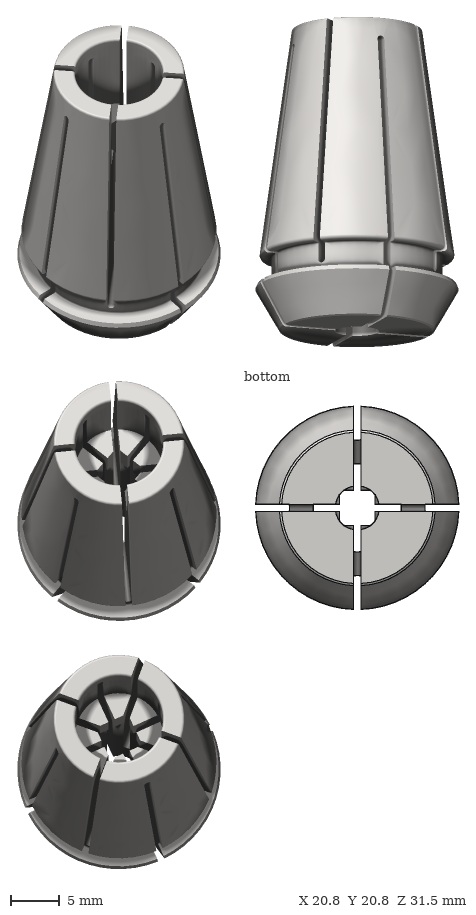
import math

import cadquery as cq

length = 31.5
taper_angle = 8.0
top_radius = 6.66
top_edge_round = 0.25

flange_radius = 10.4
flange_rim_height = 4.35
flange_top = 4.8
flange_chamfer_width = 0.2
nose_angle = 30.0
nose_edge_chamfer = 0.15

groove_radius = 8.75
groove_top = 7.6
groove_corner_round = 0.15
taper_edge_round = 0.35

shank_diameter = 4.5
shank_depth = 18.0
square_size = 3.6
square_length = 4.0
relief_diameter = 9.0
relief_edge_round = 0.25

slot_width = 0.72
slot_disc_radius = 65.0
slot_end_crown = 0.3
lower_slot_end = 29.9
upper_slot_end = 4.9
lower_slot_angles = (0, 90)
upper_slot_angles = (45, 135)

edge_tolerance = 0.01

taper_bottom_radius = top_radius + (length - groove_top) * math.tan(math.radians(taper_angle))
nose_radius = flange_radius - flange_rim_height * math.tan(math.radians(nose_angle))
square_top = shank_depth + square_length


def round_edge(body, radius, height, size):
    """Fillet the widest circular edge at this height that lies within the given radius."""
    reach = radius + edge_tolerance
    box = cq.selectors.BoxSelector(
        (-reach, -reach, height - edge_tolerance),
        (reach, reach, height + edge_tolerance),
        boundingbox=True,
    )
    return body.edges(box).edges(cq.selectors.RadiusNthSelector(-1)).fillet(size)


def make_body():
    """Revolve the nose, flange, groove and taper, then soften their edges."""
    body = (
        cq.Workplane("XZ")
        .moveTo(0, 0)
        .lineTo(nose_radius, 0)
        .lineTo(flange_radius, flange_rim_height)
        .lineTo(flange_radius - flange_chamfer_width, flange_top)
        .lineTo(groove_radius, flange_top)
        .lineTo(groove_radius, groove_top)
        .lineTo(taper_bottom_radius, groove_top)
        .lineTo(top_radius, length)
        .lineTo(0, length)
        .close()
        .revolve(360, (0, 0, 0), (0, 1, 0))
    )
    body = body.faces("<Z").edges().chamfer(nose_edge_chamfer)
    body = round_edge(body, groove_radius, flange_top, groove_corner_round)
    body = round_edge(body, groove_radius, groove_top, groove_corner_round)
    body = round_edge(body, taper_bottom_radius, groove_top, taper_edge_round)
    return round_edge(body, top_radius, length, top_edge_round)


def cut_bore(body):
    """Cut the shank hole from below, the square drive above it and the relief down from the top."""
    shank = cq.Workplane("XY").circle(shank_diameter / 2).extrude(shank_depth)
    square = (
        cq.Workplane("XY")
        .workplane(offset=shank_depth)
        .rect(square_size, square_size)
        .extrude(square_length)
    )
    relief = (
        cq.Workplane("XY")
        .workplane(offset=square_top)
        .circle(relief_diameter / 2)
        .extrude(length - square_top)
    )
    body = body.cut(shank).cut(square).cut(relief)
    return round_edge(body, relief_diameter / 2, length, relief_edge_round)


def slot_cutter(end_height, direction, angle):
    """Large thin disc standing on the axis, its crowned rim reaching end_height.

    A direction of 1 puts the disc below its rim, for a slot open at the nose, and -1 puts it above.
    """
    half_width = slot_width / 2
    shoulder_radius = slot_disc_radius - slot_end_crown
    disc = (
        cq.Workplane("XZ")
        .moveTo(-half_width, 0)
        .lineTo(-half_width, shoulder_radius)
        .threePointArc((0, slot_disc_radius), (half_width, shoulder_radius))
        .lineTo(half_width, 0)
        .close()
        .revolve(360, (0, 0, 0), (1, 0, 0))
    )
    centre_height = end_height - direction * slot_disc_radius
    return disc.translate((0, 0, centre_height)).rotate((0, 0, 0), (0, 0, 1), angle)


def cut_slots(body):
    """Cut the slots that open at the nose and those that open at the top face."""
    for angle in lower_slot_angles:
        body = body.cut(slot_cutter(lower_slot_end, 1, angle))
    for angle in upper_slot_angles:
        body = body.cut(slot_cutter(upper_slot_end, -1, angle))
    return body


result = cut_slots(cut_bore(make_body()))